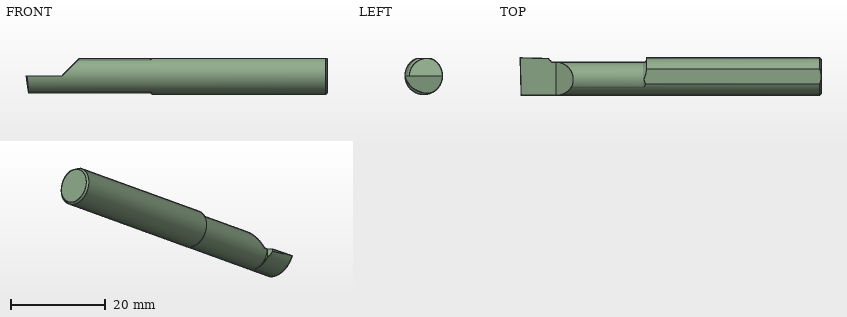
import cadquery as cq
import math

length = 63.5
shank_radius = 3.97
flat_height = 3.65
end_chamfer = 0.4

neck_radius = flat_height
neck_offset = -0.65
neck_end = 26.6
shoulder_fillet = 0.5
neck_top = neck_offset + neck_radius

rake_length = 7.55
ramp_angle = 45.0
head_length = 5.9
head_back_end = 6.7
side_taper = 1.5
end_taper = 1.5
end_relief = 7.0
relief_mid_y = 2.9
relief_mid_z = -2.05

clearance = 12.7


def make_shank():
    """Round shank with a chamfered rear end and a flat along the top."""
    shank = cq.Workplane("YZ").circle(shank_radius).extrude(length)
    shank = shank.faces(">X").chamfer(end_chamfer)
    above_flat = (
        cq.Workplane("XY", origin=(length / 2, 0, flat_height))
        .rect(2 * length, clearance)
        .extrude(clearance)
    )
    return shank.cut(above_flat)


def make_neck_envelope():
    """Neck cylinder with a filleted shoulder, opening out around the whole shank."""
    fillet_start = neck_end - shoulder_fillet
    fillet_radius = neck_radius + shoulder_fillet
    arc_inset = shoulder_fillet * math.sqrt(0.5)
    return (
        cq.Workplane("XY")
        .moveTo(0, neck_offset)
        .lineTo(0, neck_top)
        .lineTo(fillet_start, neck_top)
        .threePointArc(
            (fillet_start + arc_inset, neck_offset + fillet_radius - arc_inset),
            (neck_end, neck_offset + fillet_radius),
        )
        .lineTo(neck_end, neck_offset + clearance)
        .lineTo(length, neck_offset + clearance)
        .lineTo(length, neck_offset)
        .close()
        .revolve(360, (0, neck_offset, 0), (1, neck_offset, 0))
    )


def make_head():
    """Lower half head reaching out to +Y, with curved clearance below its edge."""
    section = (
        cq.Workplane("YZ")
        .moveTo(neck_offset, 0)
        .lineTo(shank_radius, 0)
        .threePointArc((relief_mid_y, relief_mid_z), (neck_offset, -neck_radius))
        .close()
        .extrude(head_back_end)
    )
    taper_drop = head_length * math.tan(math.radians(side_taper))
    plan = (
        cq.Workplane("XY", origin=(0, 0, -clearance / 2))
        .polyline([
            (0, neck_offset),
            (0, shank_radius),
            (head_length, shank_radius - taper_drop),
            (head_back_end, neck_top),
            (head_back_end, neck_offset),
        ])
        .close()
        .extrude(clearance)
    )
    return section.intersect(plan)


def make_rake_cut():
    """Space above the half-height rake face and its rear ramp."""
    ramp_run = clearance / math.tan(math.radians(ramp_angle))
    return (
        cq.Workplane("XZ")
        .polyline([
            (-clearance, 0),
            (rake_length, 0),
            (rake_length + ramp_run, clearance),
            (-clearance, clearance),
        ])
        .close()
        .extrude(clearance, both=True)
    )


def make_end_cut():
    """Space ahead of the end face, which leans back towards -Y and downwards."""
    outward = (-1, -math.tan(math.radians(end_taper)), -math.tan(math.radians(end_relief)))
    end_plane = cq.Plane(origin=(0, shank_radius, 0), xDir=(0, 0, 1), normal=outward)
    return cq.Workplane(end_plane).rect(4 * clearance, 4 * clearance).extrude(clearance)


bar = make_shank().intersect(make_neck_envelope())
bar = bar.cut(make_rake_cut())
bar = bar.union(make_head())
result = bar.cut(make_end_cut())